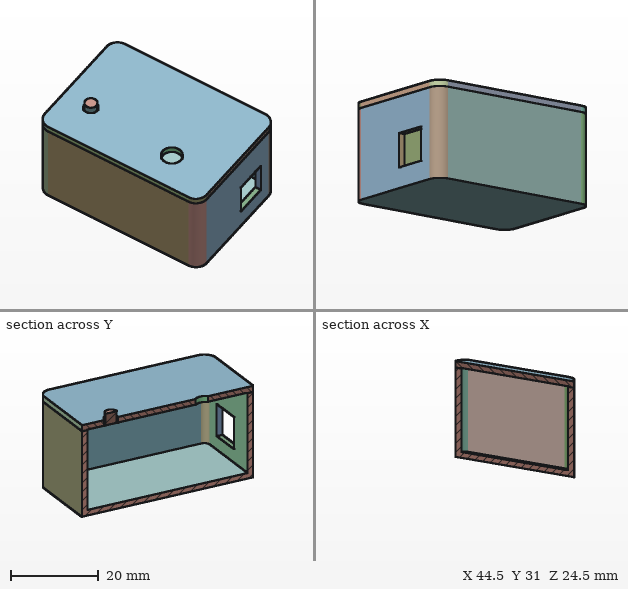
import cadquery as cq

length = 44.5
width = 31.0
total_height = 24.5
corner_radius = 3.0

lid_thickness = 1.5
button_protrusion = 1.5
wall = lid_thickness
box_height = total_height - button_protrusion - lid_thickness

button_diameter = 3.0
button_hole_diameter = 3.5
button_x = -14.65
button_y = -5.07

lid_hole_diameter = 5.0
lid_hole_x = 8.9
lid_hole_y = -7.0

window_width = 8.0
window_height = 8.0
window_y = 5.35
window_z = 8.9


def rounded_block(size_x, size_y, height, radius, bottom_z):
    """Block centred on the Z axis, with rounded vertical edges."""
    return (
        cq.Workplane("XY")
        .workplane(offset=bottom_z)
        .rect(size_x, size_y)
        .extrude(height)
        .edges("|Z")
        .fillet(radius)
    )


def make_housing():
    """Open-topped box with a window through its +X wall."""
    outside = rounded_block(length, width, box_height, corner_radius, 0)
    cavity = rounded_block(
        length - 2 * wall,
        width - 2 * wall,
        box_height - wall,
        corner_radius - wall,
        wall,
    )
    window = cq.Workplane("XY").box(3 * wall, window_width, window_height)
    window = window.translate((length / 2 - wall / 2, window_y, window_z))
    return outside.cut(cavity).cut(window)


def make_lid():
    """Flat lid with the button hole and the larger open hole."""
    plate = rounded_block(length, width, lid_thickness, corner_radius, box_height)
    top = plate.faces(">Z").workplane(origin=(0, 0, box_height + lid_thickness))
    plate = top.center(button_x, button_y).hole(button_hole_diameter)
    top = plate.faces(">Z").workplane(origin=(0, 0, box_height + lid_thickness))
    return top.center(lid_hole_x, lid_hole_y).hole(lid_hole_diameter)


def make_button():
    """Round button from the underside of the lid to above its top."""
    return (
        cq.Workplane("XY")
        .workplane(offset=box_height)
        .center(button_x, button_y)
        .circle(button_diameter / 2)
        .extrude(lid_thickness + button_protrusion)
    )


housing = make_housing()
lid = make_lid()
button = make_button()

result = cq.Compound.makeCompound([housing.val(), lid.val(), button.val()])